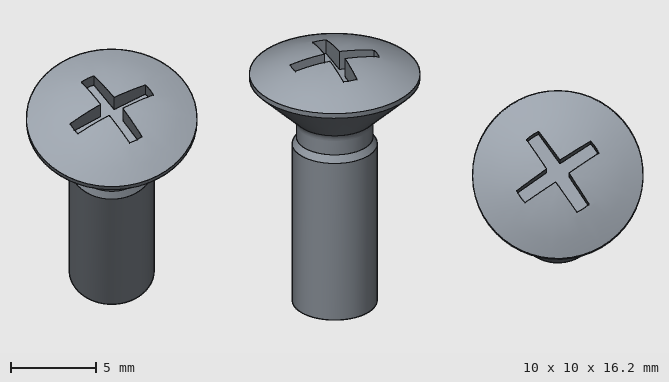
import cadquery as cq
import math

shank_top = 10.4
relief_bottom = 10.84
relief_top = 11.75
cone_bottom = 12.17
rim_bottom = 14.74
rim_top = 15.05
overall_height = 16.18

head_radius = 5.0
shank_radius = 2.5
relief_radius = 2.25
cone_small_radius = 2.36

recess_floor = 14.98
recess_radius = 2.65
arm_root_width = 0.94
arm_end_width = 0.85

corner_radius = arm_root_width / math.sqrt(2)
rim_drop = overall_height - rim_top
center_below_rim = (head_radius**2 - corner_radius**2 - rim_drop**2) / (2 * rim_drop)
sphere_radius = math.hypot(head_radius, center_below_rim)
sphere_center = rim_top - center_below_rim
apex = sphere_center + sphere_radius


def screw_body():
    """Revolve the half profile of shank, relief neck and raised countersunk head."""
    dome_mid_radius = head_radius / 2
    dome_mid_height = sphere_center + math.sqrt(sphere_radius**2 - dome_mid_radius**2)
    return (
        cq.Workplane("XZ")
        .lineTo(shank_radius, 0)
        .lineTo(shank_radius, shank_top)
        .lineTo(relief_radius, relief_bottom)
        .lineTo(relief_radius, relief_top)
        .tangentArcPoint((cone_small_radius, cone_bottom), relative=False)
        .lineTo(head_radius, rim_bottom)
        .lineTo(head_radius, rim_top)
        .threePointArc((dome_mid_radius, dome_mid_height), (0, apex))
        .close()
        .revolve(360, (0, 0, 0), (0, 1, 0))
    )


def recess_arm(angle):
    """One arm of the cross, from the axis outwards, at an angle in degrees from +X."""
    half_root = arm_root_width / 2
    half_end = arm_end_width / 2
    return (
        cq.Workplane("XY")
        .workplane(offset=recess_floor)
        .polyline([
            (0, -half_root),
            (half_root, -half_root),
            (recess_radius, -half_end),
            (recess_radius, half_end),
            (half_root, half_root),
            (0, half_root),
        ])
        .close()
        .extrude(apex - recess_floor)
        .rotate((0, 0, 0), (0, 0, 1), angle)
    )


def cross_recess():
    """Four arms trimmed to a round outer boundary."""
    boundary = (
        cq.Workplane("XY")
        .workplane(offset=recess_floor)
        .circle(recess_radius)
        .extrude(apex - recess_floor)
    )
    cross = recess_arm(0)
    for angle in (90, 180, 270):
        cross = cross.union(recess_arm(angle))
    return cross.intersect(boundary)


result = screw_body().cut(cross_recess())